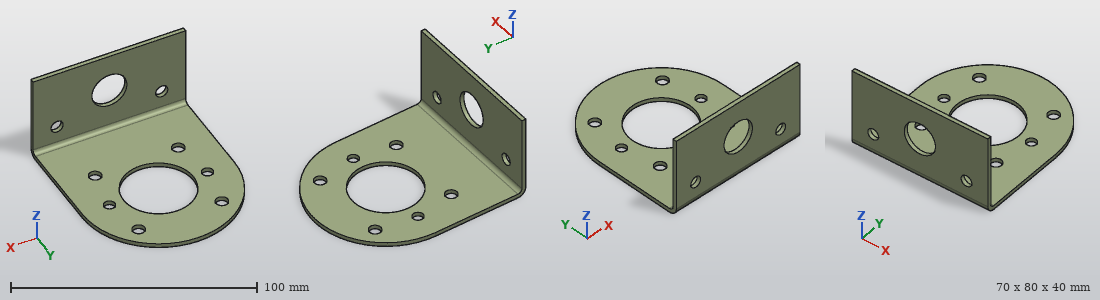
import cadquery as cq

length = 80.0
width = 70.0
height = 40.0
thickness = 2.0
inner_bend_radius = 2.0
outer_bend_radius = inner_bend_radius + thickness

end_radius = width / 2
back_y = end_radius
front_y = back_y - length

bore_diameter = 32.0
mount_hole_diameter = 5.5
mount_circle_diameter = 54.0
side_hole_diameter = 5.0
side_hole_offset = 22.5

flange_bore_diameter = 16.0
flange_bore_z = 22.0
flange_hole_offset = 24.0
flange_hole_z = 12.0


def bent_sheet():
    """L-shaped section with a rounded bend, extruded across the full width."""
    section = (
        cq.Workplane("YZ")
        .moveTo(front_y, 0)
        .lineTo(back_y, 0)
        .lineTo(back_y, thickness)
        .lineTo(front_y + thickness, thickness)
        .lineTo(front_y + thickness, height)
        .lineTo(front_y, height)
        .close()
        .extrude(width / 2, both=True)
    )
    inner_corner = (0, front_y + thickness, thickness)
    outer_corner = (0, front_y, 0)
    section = section.edges(cq.selectors.NearestToPointSelector(inner_corner)).fillet(inner_bend_radius)
    return section.edges(cq.selectors.NearestToPointSelector(outer_corner)).fillet(outer_bend_radius)


def rounded_outline():
    """Full-height prism whose plan is a rectangle with a semicircular back end."""
    return (
        cq.Workplane("XY")
        .moveTo(-end_radius, front_y)
        .lineTo(end_radius, front_y)
        .lineTo(end_radius, 0)
        .threePointArc((0, back_y), (-end_radius, 0))
        .close()
        .extrude(height)
    )


def base_holes():
    bore = cq.Workplane("XY").circle(bore_diameter / 2).extrude(thickness)
    mounts = (
        cq.Workplane("XY")
        .polarArray(mount_circle_diameter / 2, 45, 360, 4)
        .circle(mount_hole_diameter / 2)
        .extrude(thickness)
    )
    sides = (
        cq.Workplane("XY")
        .pushPoints([(-side_hole_offset, 0), (side_hole_offset, 0)])
        .circle(side_hole_diameter / 2)
        .extrude(thickness)
    )
    return bore.union(mounts).union(sides)


def flange_holes():
    outer_face = cq.Workplane("XZ", origin=(0, front_y, 0))
    bore = outer_face.center(0, flange_bore_z).circle(flange_bore_diameter / 2).extrude(-thickness)
    mounts = (
        outer_face
        .pushPoints([(-flange_hole_offset, flange_hole_z), (flange_hole_offset, flange_hole_z)])
        .circle(mount_hole_diameter / 2)
        .extrude(-thickness)
    )
    return bore.union(mounts)


result = bent_sheet().intersect(rounded_outline()).cut(base_holes()).cut(flange_holes())